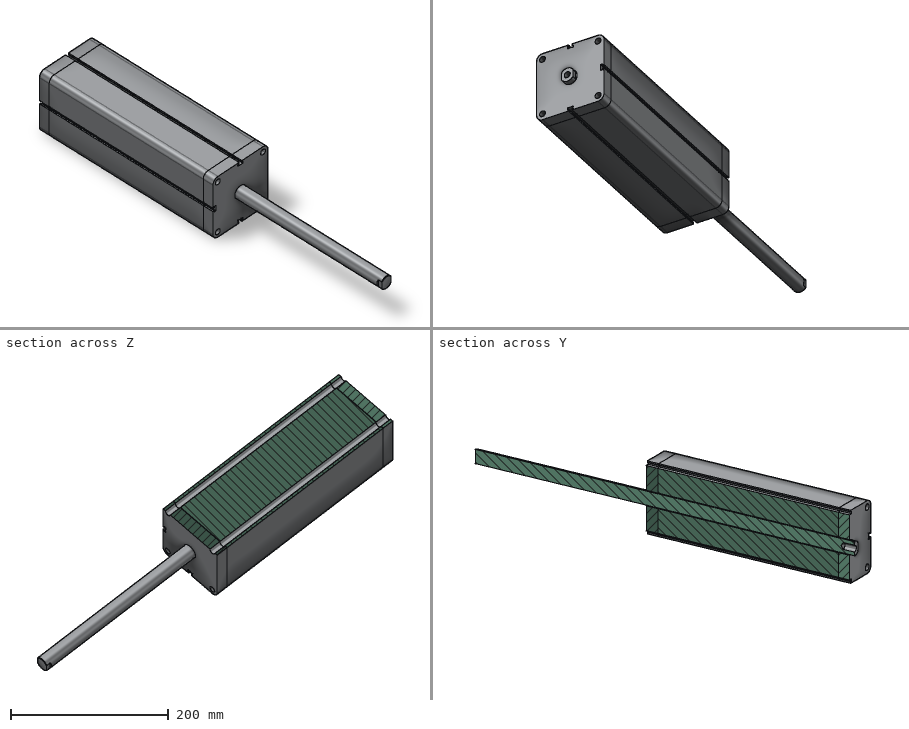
import cadquery as cq
import math

total_length = 572.5
stub_length = 7.5
cap_length = 17.0
housing_length = 307.0
tube_length = housing_length - 2 * cap_length

shaft_rear_x = -total_length / 2
rear_cap_x = shaft_rear_x + stub_length
tube_x = rear_cap_x + cap_length
front_cap_x = tube_x + tube_length

side = 100.0
corner_radius = 9.0
screw_offset = 41.0
screw_diameter = 8.5

slot_mouth_width = 5.0
slot_inner_width = 8.5
slot_depth = 5.0
lip_thickness = 2.5
slot_angles = (0, 90, 180)

shaft_diameter = 20.0
flat_width = 16.5
flat_length = 6.5
flat_run_out = 1.0
end_chamfer = 0.5
centre_hole_diameter = 8.5
centre_hole_depth = 17.0
drill_point_angle = 118

bore_clearance = 0.35
bore_diameter = shaft_diameter + 2 * bore_clearance


def plane_at(x):
    """Section plane at x, with local x along Y, local y along Z and the normal along +X."""
    return cq.Workplane("YZ", origin=(x, 0, 0))


def make_slot_cutter(x, length, angle):
    """T-shaped bar that cuts one slot, turned about the X axis to its face."""
    face = side / 2
    mouth = slot_mouth_width / 2
    inner = slot_inner_width / 2
    outline = [
        (-mouth, face),
        (-mouth, face - lip_thickness),
        (-inner, face - lip_thickness),
        (-inner, face - slot_depth),
        (inner, face - slot_depth),
        (inner, face - lip_thickness),
        (mouth, face - lip_thickness),
        (mouth, face),
    ]
    cutter = plane_at(x).polyline(outline).close().extrude(length)
    return cutter.rotate((0, 0, 0), (1, 0, 0), angle)


def make_housing_section(x, length):
    """Length of the square housing with its shaft bore, screw holes and T-slots."""
    section = plane_at(x).rect(side, side).extrude(length).edges("|X").fillet(corner_radius)
    bore = plane_at(x).circle(bore_diameter / 2).extrude(length)
    screw_holes = (
        plane_at(x)
        .rect(2 * screw_offset, 2 * screw_offset, forConstruction=True)
        .vertices()
        .circle(screw_diameter / 2)
        .extrude(length)
    )
    section = section.cut(bore).cut(screw_holes)
    for angle in slot_angles:
        section = section.cut(make_slot_cutter(x, length, angle))
    return section


def make_flat_cutter(end_x, inward):
    """Block that cuts the +Y flat at one shaft end; inward is the X direction into the shaft.

    The flat runs out to the shaft surface on a short slope.
    """
    flat_y = flat_width / 2
    surface_y = shaft_diameter / 2
    flat_end_x = end_x + inward * flat_length
    run_out_x = flat_end_x + inward * flat_run_out
    outline = [
        (end_x, flat_y),
        (flat_end_x, flat_y),
        (run_out_x, surface_y),
        (end_x, surface_y),
    ]
    return cq.Workplane("XY").polyline(outline).close().extrude(shaft_diameter / 2, both=True)


def make_centre_hole():
    """Blind hole with a conical drill point, entering the rear end of the shaft."""
    radius = centre_hole_diameter / 2
    point_depth = radius / math.tan(math.radians(drill_point_angle / 2))
    bottom_x = shaft_rear_x + centre_hole_depth
    half_section = [
        (shaft_rear_x, 0),
        (shaft_rear_x, radius),
        (bottom_x, radius),
        (bottom_x + point_depth, 0),
    ]
    return cq.Workplane("XY").polyline(half_section).close().revolve(360, (0, 0, 0), (1, 0, 0))


def make_shaft():
    shaft = plane_at(shaft_rear_x).circle(shaft_diameter / 2).extrude(total_length)
    shaft = shaft.faces(">X").chamfer(end_chamfer)
    for end_x, inward in ((shaft_rear_x, 1), (shaft_rear_x + total_length, -1)):
        cutter = make_flat_cutter(end_x, inward)
        shaft = shaft.cut(cutter).cut(cutter.mirror("XZ"))
    return shaft.cut(make_centre_hole())


rear_cap = make_housing_section(rear_cap_x, cap_length)
tube = make_housing_section(tube_x, tube_length)
front_cap = make_housing_section(front_cap_x, cap_length)
shaft = make_shaft()

result = cq.Compound.makeCompound([rear_cap.val(), tube.val(), front_cap.val(), shaft.val()])